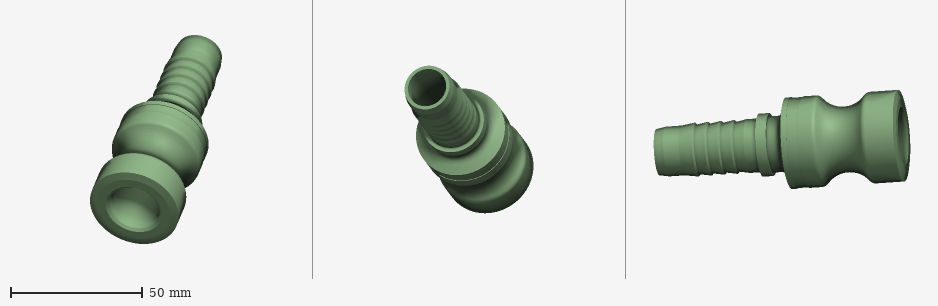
import cadquery as cq
import math

length = 95.0

plug_radius = 35.0 / 2
face_radius = 29.0 / 2
face_chamfer_depth = 0.8
groove_center_y = 22.1
groove_waist_radius = 25.1 / 2
groove_arc_radius = 11.0
groove_lip_radius = 2.5
band_radius = 34.5 / 2
band_start_y = 37.5
band_end_y = 42.2
plug_end_y = 44.3

shoulder_angle = math.radians(16)
neck_radius = 21.5 / 2
neck_fillet_radius = 2.0

collar_radius = 24.0 / 2
collar_start_y = 51.0
collar_end_y = 55.1
tail_radius = 20.5 / 2
tail_root_radius = 19.0 / 2
first_barb_y = 59.9
barb_pitch = 5.0
barb_count = 5
barb_back_length = 0.9
barb_land = 0.2
barb_end_y = 85.2
tip_start_y = 91.2
tip_radius = 17.7 / 2

bore_radius = 15.0 / 2
mouth_radius = 20.0 / 2
mouth_chamfer_radius = 22.0 / 2
mouth_chamfer_depth = 1.0
mouth_depth = 34.2
mouth_cone_depth = 1.4


def add_coupling_groove(profile):
    """Add the concave cam groove with a rounded lip tangent at each end."""
    arc_center_radius = groove_waist_radius + groove_arc_radius
    lip_center_radius = plug_radius - groove_lip_radius
    center_distance = groove_arc_radius + groove_lip_radius
    lip_angle = math.acos((arc_center_radius - lip_center_radius) / center_distance)
    lip_offset = center_distance * math.sin(lip_angle)
    tangent_radius = lip_center_radius + groove_lip_radius * math.cos(lip_angle)
    tangent_offset = groove_arc_radius * math.sin(lip_angle)
    lip_mid_radius = lip_center_radius + groove_lip_radius * math.cos(lip_angle / 2)
    lip_mid_offset = lip_offset - groove_lip_radius * math.sin(lip_angle / 2)
    return (
        profile.lineTo(plug_radius, groove_center_y - lip_offset)
        .threePointArc(
            (lip_mid_radius, groove_center_y - lip_mid_offset),
            (tangent_radius, groove_center_y - tangent_offset),
        )
        .threePointArc(
            (groove_waist_radius, groove_center_y),
            (tangent_radius, groove_center_y + tangent_offset),
        )
        .threePointArc(
            (lip_mid_radius, groove_center_y + lip_mid_offset),
            (plug_radius, groove_center_y + lip_offset),
        )
    )


def add_shoulder(profile):
    """Add the shoulder cone and the fillet that blends it into the neck."""
    turn = math.pi / 2 - shoulder_angle
    fillet_center_radius = neck_radius + neck_fillet_radius
    cone_end_radius = fillet_center_radius - neck_fillet_radius * math.cos(turn)
    cone_end_y = plug_end_y + (plug_radius - cone_end_radius) * math.tan(shoulder_angle)
    fillet_end_y = cone_end_y + neck_fillet_radius * math.sin(turn)
    return profile.lineTo(cone_end_radius, cone_end_y).threePointArc(
        (
            fillet_center_radius - neck_fillet_radius * math.cos(turn / 2),
            fillet_end_y - neck_fillet_radius * math.sin(turn / 2),
        ),
        (neck_radius, fillet_end_y),
    )


def add_barbs(profile):
    """Add barbs that taper toward the tail end, each with a steep back."""
    profile = profile.lineTo(tail_radius, first_barb_y)
    for index in range(1, barb_count):
        crest_y = first_barb_y + index * barb_pitch
        profile = (
            profile.lineTo(tail_root_radius, crest_y - barb_back_length)
            .lineTo(tail_radius, crest_y - barb_land)
            .lineTo(tail_radius, crest_y)
        )
    return profile.lineTo(tail_root_radius, barb_end_y)


profile = (
    cq.Workplane("XY")
    .moveTo(mouth_chamfer_radius, 0)
    .lineTo(face_radius, 0)
    .lineTo(plug_radius, face_chamfer_depth)
)
profile = add_coupling_groove(profile)
profile = (
    profile.lineTo(plug_radius, band_start_y)
    .lineTo(band_radius, band_start_y)
    .lineTo(band_radius, band_end_y)
    .lineTo(plug_radius, band_end_y)
    .lineTo(plug_radius, plug_end_y)
)
profile = add_shoulder(profile)
profile = (
    profile.lineTo(neck_radius, collar_start_y)
    .lineTo(collar_radius, collar_start_y)
    .lineTo(collar_radius, collar_end_y)
    .lineTo(tail_radius, collar_end_y)
)
profile = add_barbs(profile)
profile = (
    profile.lineTo(tail_root_radius, tip_start_y)
    .lineTo(tip_radius, length)
    .lineTo(bore_radius, length)
    .lineTo(bore_radius, mouth_depth + mouth_cone_depth)
    .lineTo(mouth_radius, mouth_depth)
    .lineTo(mouth_radius, mouth_chamfer_depth)
    .close()
)

result = profile.revolve(360, (0, 0, 0), (0, 1, 0))